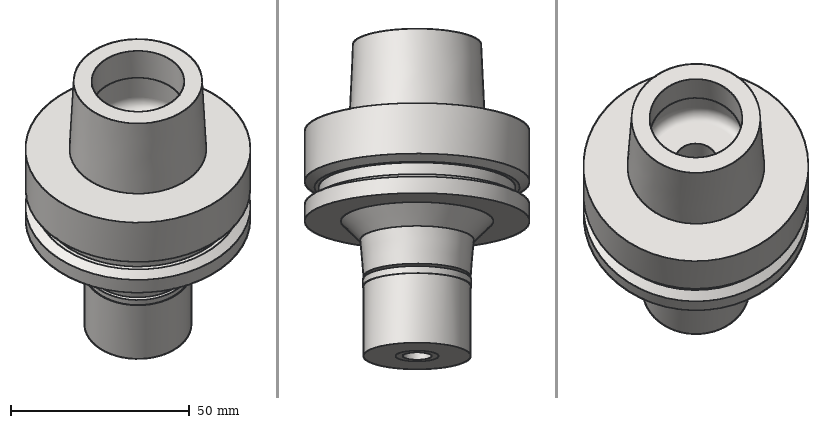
import cadquery as cq

total_height = 90.0
flange_top = 65.0
groove_roof = 50.4
groove_floor_top = 48.8
groove_floor_bottom = 45.2
groove_sill = 43.7
flange_bottom = 39.0
shoulder_bottom = 33.5
nose_bottom = 22.9

shank_top_radius = 18.0
shank_base_radius = 19.2
flange_radius = 31.5
groove_lip_radius = 28.7
groove_radius = 27.5
shoulder_radius = 21.3
nose_top_radius = 15.9
nose_bottom_radius = 15.0
neck_radius = 11.25

bore_radius = 13.0
bore_lip_depth = 10.0
undercut_radius = 16.0
undercut_straight_depth = 20.0
floor_fillet_radius = 3.0

nut_height = 22.05
nut_radius = 15.0
nut_collar_radius = 15.2
nut_collar_height = 2.0
nut_base_thickness = 4.05

collet_radius = 6.0
collet_bore_radius = 4.05
collet_length = 27.5


def turned(profile):
    """Revolve a closed (radius, height) outline about the Z axis."""
    return cq.Workplane("XZ").polyline(profile).close().revolve(360, (0, 0, 0), (0, 1, 0))


def make_holder_blank():
    """Solid tapered shank, grooved flange, nose and neck."""
    return turned([
        (0, nut_base_thickness),
        (neck_radius, nut_base_thickness),
        (neck_radius, nose_bottom),
        (nose_bottom_radius, nose_bottom),
        (nose_top_radius, shoulder_bottom),
        (shoulder_radius, flange_bottom),
        (flange_radius, flange_bottom),
        (flange_radius, groove_sill),
        (groove_lip_radius, groove_floor_bottom),
        (groove_radius, groove_floor_bottom),
        (groove_radius, groove_floor_top),
        (groove_lip_radius, groove_floor_top),
        (flange_radius, groove_roof),
        (flange_radius, flange_top),
        (shank_base_radius, flange_top),
        (shank_top_radius, total_height),
        (0, total_height),
    ])


def make_holder():
    """Holder with its clamping bore, rounded undercut and collet hole."""
    undercut_top = total_height - bore_lip_depth
    bore_floor = total_height - undercut_straight_depth - floor_fillet_radius
    bore = cq.Workplane("XY", origin=(0, 0, bore_floor)).circle(bore_radius).extrude(total_height - bore_floor)
    undercut = (
        cq.Workplane("XY", origin=(0, 0, bore_floor))
        .circle(undercut_radius)
        .extrude(undercut_top - bore_floor)
        .faces("<Z")
        .edges()
        .fillet(floor_fillet_radius)
    )
    collet_hole = cq.Workplane("XY").circle(collet_radius).extrude(total_height)
    return make_holder_blank().cut(bore).cut(undercut).cut(collet_hole)


def make_nut():
    """Plain nut with a thin collar and a recess for the holder's neck."""
    collar_bottom = nut_height - nut_collar_height
    return turned([
        (collet_radius, 0),
        (nut_radius, 0),
        (nut_radius, collar_bottom),
        (nut_collar_radius, collar_bottom),
        (nut_collar_radius, nut_height),
        (neck_radius, nut_height),
        (neck_radius, nut_base_thickness),
        (collet_radius, nut_base_thickness),
    ])


def make_collet():
    """Straight sleeve through the nut and up into the holder."""
    return cq.Workplane("XY").circle(collet_radius).circle(collet_bore_radius).extrude(collet_length)


holder = make_holder()
nut = make_nut()
collet = make_collet()

result = cq.Compound.makeCompound([holder.val(), nut.val(), collet.val()])